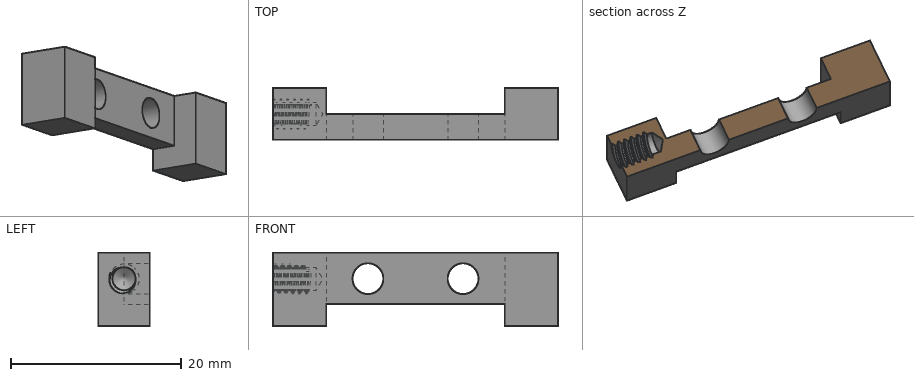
import cadquery as cq
import math

length = 33.53
depth = 6.1
height = 8.62

end_length = 6.3
bridge_depth = depth / 2
bridge_height = 6.05

cross_hole_diameter = 3.6
cross_hole_spacing = length / 3
hole_drop = 3.05

thread_minor_diameter = 2.7
thread_major_diameter = 3.52
thread_pitch = 0.8
thread_angle = 60.0
thread_root_flat = 0.1
thread_start_angle = 40.0
groove_overlap = 0.07
pilot_depth = 5.03
thread_length = pilot_depth
drill_point_angle = 118.0

hole_height = height - hole_drop
recess_length = length - 2 * end_length


def make_body():
    body = cq.Workplane("XY").box(length, depth, height, centered=(True, False, False))
    underside_recess = cq.Workplane("XY").box(
        recess_length, depth, height - bridge_height, centered=(True, False, False)
    )
    rear_recess = (
        cq.Workplane("XY")
        .box(recess_length, depth - bridge_depth, height, centered=(True, False, False))
        .translate((0, bridge_depth, 0))
    )
    return body.cut(underside_recess).cut(rear_recess)


def make_cross_hole(x):
    """Plain round hole running through the bridge along Y."""
    return (
        cq.Workplane("XZ", origin=(x, 0, hole_height))
        .circle(cross_hole_diameter / 2)
        .extrude(-depth)
    )


def make_pilot_hole():
    """Drilled hole with a conical bottom, its axis along +X from the end face."""
    radius = thread_minor_diameter / 2
    tip_length = radius / math.tan(math.radians(drill_point_angle / 2))
    return (
        cq.Workplane("XY")
        .polyline([(0, 0), (0, radius), (pilot_depth, radius), (pilot_depth + tip_length, 0)])
        .close()
        .revolve(360, (0, 0, 0), (1, 0, 0))
    )


def make_thread_groove():
    """Right-hand V groove winding along +X, starting one pitch outside the end face."""
    minor_radius = thread_minor_diameter / 2
    major_radius = thread_major_diameter / 2
    root_half_width = thread_root_flat / 2
    flank_slope = math.tan(math.radians(thread_angle / 2))
    inner_radius = minor_radius - groove_overlap
    inner_half_width = root_half_width + (major_radius - inner_radius) * flank_slope
    helix = cq.Wire.makeHelix(thread_pitch, thread_length, major_radius)
    groove = (
        cq.Workplane("XZ")
        .polyline(
            [
                (inner_radius, -inner_half_width),
                (major_radius, -root_half_width),
                (major_radius, root_half_width),
                (inner_radius, inner_half_width),
            ]
        )
        .close()
        .sweep(cq.Workplane(helix), isFrenet=True)
    )
    groove = groove.rotate((0, 0, 0), (0, 1, 0), 90).translate((-thread_pitch, 0, 0))
    return groove.rotate((0, 0, 0), (1, 0, 0), thread_start_angle)


result = make_body()
for side in (-1, 1):
    result = result.cut(make_cross_hole(side * cross_hole_spacing / 2))
hole_mouth = (-length / 2, depth / 2, hole_height)
result = result.cut(make_pilot_hole().translate(hole_mouth))
result = result.cut(make_thread_groove().translate(hole_mouth))